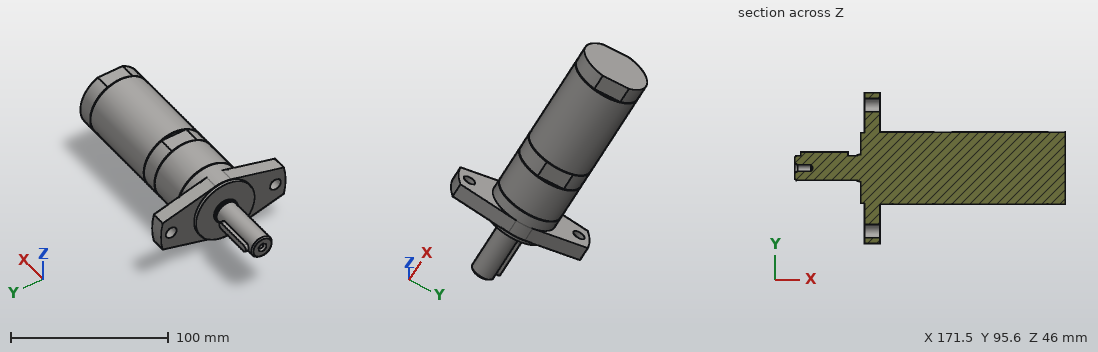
import cadquery as cq
import math

total_length = 171.5

shaft_diameter = 16.0
shaft_end = 39.8
shaft_chamfer = 1.0
inner_collar_diameter = 17.0
inner_collar_end = 40.8
outer_collar_diameter = 17.5
outer_collar_end = 41.8

centre_hole_diameter = 4.0
centre_hole_depth = 10.3
countersink_diameter = 6.0
countersink_angle = 60.0
drill_point_angle = 120.0

key_start = 3.8
key_length = 30.0
key_width = 5.1
key_top = 10.3
key_bottom = 5.1

pilot_diameter = 45.0
flange_start = 44.0
flange_thickness = 10.1
flange_end_radius = 47.8
flange_taper_angle = 15.0
mounting_hole_diameter = 8.2
mounting_hole_spacing = 80.0

body_diameter = 46.0
joint_groove_width = 0.5
joint_groove_depth = 0.2
front_joint = 61.7
flat_distance = 41.8
middle_flats_start = 88.2
middle_flats_length = 11.7
rear_flats_start = 160.5
joint_groove_starts = (
    front_joint,
    middle_flats_start - joint_groove_width,
    middle_flats_start + middle_flats_length,
    rear_flats_start - joint_groove_width,
)


def cylinder(diameter, start, end):
    """Solid cylinder on the X axis between two X positions."""
    return cq.Workplane("YZ").workplane(offset=start).circle(diameter / 2).extrude(end - start)


def make_shaft():
    shaft = cylinder(shaft_diameter, 0, outer_collar_end).faces("<X").chamfer(shaft_chamfer)
    inner_collar = cylinder(inner_collar_diameter, shaft_end, inner_collar_end)
    outer_collar = cylinder(outer_collar_diameter, inner_collar_end, outer_collar_end)
    return shaft.union(inner_collar).union(outer_collar).cut(make_centre_hole())


def make_centre_hole():
    """Revolved half section of the centre hole, from its mouth to its pointed end."""
    hole_radius = centre_hole_diameter / 2
    mouth_radius = countersink_diameter / 2
    countersink_depth = (mouth_radius - hole_radius) / math.tan(math.radians(countersink_angle / 2))
    point_length = hole_radius / math.tan(math.radians(drill_point_angle / 2))
    half_section = [
        (0, 0),
        (0, mouth_radius),
        (countersink_depth, hole_radius),
        (centre_hole_depth, hole_radius),
        (centre_hole_depth + point_length, 0),
    ]
    return cq.Workplane("XY").polyline(half_section).close().revolve(360, (0, 0), (1, 0))


def make_key():
    return (
        cq.Workplane("XZ", origin=(key_start + key_length / 2, key_bottom, 0))
        .slot2D(key_length, key_width)
        .extrude(-(key_top - key_bottom))
    )


def make_flange():
    """Plate whose straight edges run tangent to the body and end on a larger circle."""
    taper = math.radians(flange_taper_angle)
    body_radius = body_diameter / 2
    tangent_y = body_radius * math.sin(taper)
    tangent_z = body_radius * math.cos(taper)
    corner_angle = math.pi / 2 - taper - math.acos(body_radius / flange_end_radius)
    corner_y = flange_end_radius * math.cos(corner_angle)
    corner_z = flange_end_radius * math.sin(corner_angle)
    return (
        cq.Workplane("YZ")
        .workplane(offset=flange_start)
        .moveTo(corner_y, -corner_z)
        .threePointArc((flange_end_radius, 0), (corner_y, corner_z))
        .lineTo(tangent_y, tangent_z)
        .threePointArc((0, body_radius), (-tangent_y, tangent_z))
        .lineTo(-corner_y, corner_z)
        .threePointArc((-flange_end_radius, 0), (-corner_y, -corner_z))
        .lineTo(-tangent_y, -tangent_z)
        .threePointArc((0, -body_radius), (tangent_y, -tangent_z))
        .close()
        .pushPoints([(-mounting_hole_spacing / 2, 0), (mounting_hole_spacing / 2, 0)])
        .circle(mounting_hole_diameter / 2)
        .extrude(flange_thickness)
    )


def cut_flats(body, start, length):
    """Leave only the slab between two parallel flats over one stretch of the body."""
    stretch = cylinder(body_diameter, start, start + length)
    slab = cq.Workplane("XY").box(length, body_diameter, flat_distance)
    slab = slab.translate((start + length / 2, 0, 0))
    return body.cut(stretch.cut(slab))


def make_body():
    body = cylinder(body_diameter, flange_start, total_length)
    body = cut_flats(body, middle_flats_start, middle_flats_length)
    body = cut_flats(body, rear_flats_start, total_length - rear_flats_start)
    groove_floor_diameter = body_diameter - 2 * joint_groove_depth
    for start in joint_groove_starts:
        end = start + joint_groove_width
        ring = cylinder(body_diameter, start, end).cut(cylinder(groove_floor_diameter, start, end))
        body = body.cut(ring)
    return body


pilot_disc = cylinder(pilot_diameter, outer_collar_end, flange_start)
result = make_shaft().union(make_key()).union(pilot_disc).union(make_flange()).union(make_body())